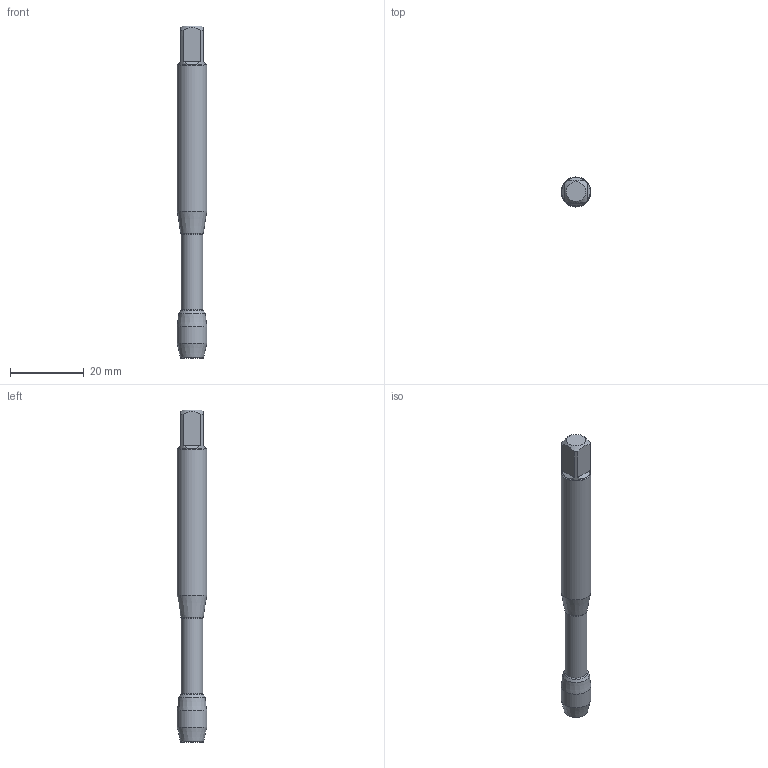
import cadquery as cq

total_length = 90.1

head_diameter = 8.08
head_tip_diameter = 6.3
head_tip_chamfer = 0.15
head_lead_length = 4.0
head_barrel_end_z = 8.5
head_shoulder_diameter = 7.2
head_shoulder_z = 12.05
head_rim_diameter = 6.4
head_rim_z = 12.8
head_top_z = 13.1

neck_diameter = 5.92
neck_top_z = 33.6
taper_small_diameter = 6.1
taper_small_z = 33.8
shank_diameter = 8.05
shank_start_z = 39.8

drive_diameter = 7.75
drive_flats = 6.14
drive_tip_chamfer = 1.2
drive_tip_diameter = drive_diameter - 2 * drive_tip_chamfer
drive_shoulder_z = 79.4
drive_cone_height = (shank_diameter - drive_diameter) / 2
drive_flat_start_z = 80.4
drive_flare_height = (shank_diameter - drive_flats) / 2


def revolve_profile(points):
    """Turn (diameter, z) points, listed upwards, into a solid of revolution about Z."""
    outline = [(0, points[0][1])]
    outline += [(diameter / 2, z) for diameter, z in points]
    outline.append((0, points[-1][1]))
    return cq.Workplane("XZ").polyline(outline).close().revolve(360, (0, 0), (0, 1))


def make_head():
    """Barrel-shaped forming head with a tapered lead and a chamfered shoulder."""
    return revolve_profile([
        (head_tip_diameter - 2 * head_tip_chamfer, 0),
        (head_tip_diameter, head_tip_chamfer),
        (head_diameter, head_lead_length),
        (head_diameter, head_barrel_end_z),
        (head_shoulder_diameter, head_shoulder_z),
        (head_rim_diameter, head_rim_z),
        (neck_diameter, head_top_z),
    ])


def make_drive_envelope():
    """Space inside the four flats: a square prism that flares at 45 degrees into the shank."""
    prism = cq.Workplane("XY").workplane(offset=drive_flat_start_z).rect(drive_flats, drive_flats)
    prism = prism.extrude(total_length - drive_flat_start_z)
    foot_z = drive_flat_start_z - drive_flare_height
    foot = (
        cq.Workplane("XY").workplane(offset=foot_z).rect(shank_diameter, shank_diameter)
        .workplane(offset=drive_flare_height).rect(drive_flats, drive_flats).loft(ruled=True)
    )
    base = cq.Workplane("XY").workplane(offset=head_top_z).rect(shank_diameter, shank_diameter)
    base = base.extrude(foot_z - head_top_z)
    return base.union(foot).union(prism)


def make_shank():
    """Neck, taper and shank turned in one piece, with a square drive cut at the top."""
    turned = revolve_profile([
        (neck_diameter, head_top_z),
        (neck_diameter, neck_top_z),
        (taper_small_diameter, taper_small_z),
        (shank_diameter, shank_start_z),
        (shank_diameter, drive_shoulder_z),
        (drive_diameter, drive_shoulder_z + drive_cone_height),
        (drive_diameter, total_length - drive_tip_chamfer),
        (drive_tip_diameter, total_length),
    ])
    return turned.intersect(make_drive_envelope())


head = make_head()
shank = make_shank()

result = cq.Compound.makeCompound([head.val(), shank.val()])